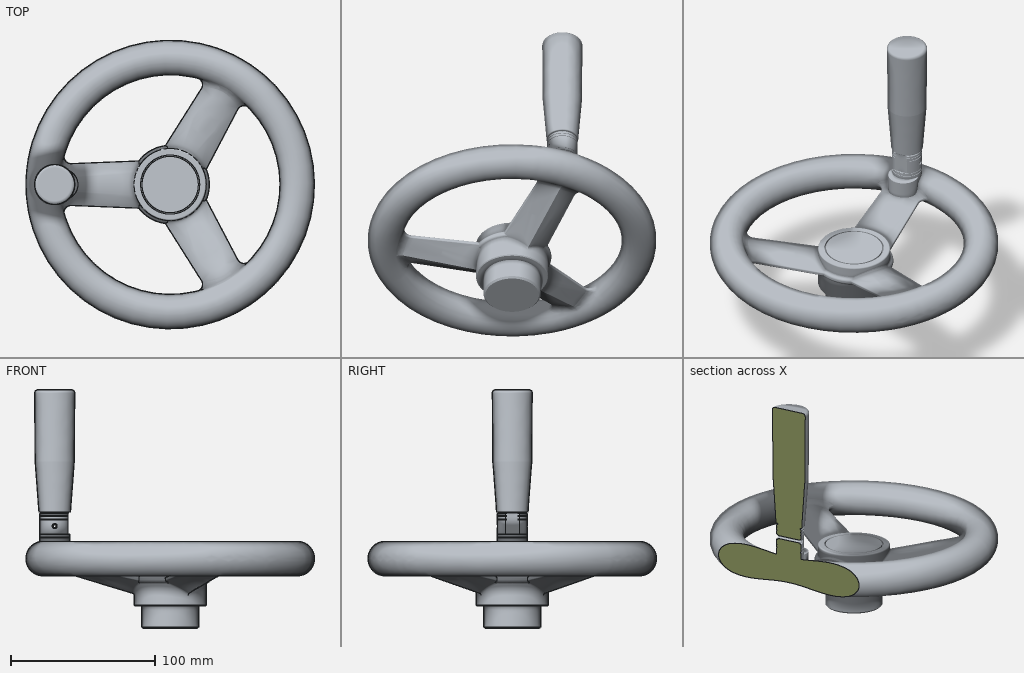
import cadquery as cq
import math

RIM_DIAMETER = 200.0
TUBE_RADIUS = 12.0
RIM_Z = 48.4
RIM_PATH_RADIUS = RIM_DIAMETER / 2 - TUBE_RADIUS
RIM_SEAM_ANGLE = 177.0
RIM_TOP_Z = RIM_Z + TUBE_RADIUS

SPIGOT_RADIUS = 19.8
SPIGOT_CHAMFER = 1.2
HUB_RADIUS = 25.0
HUB_BOTTOM_Z = 15.6
HUB_TOP_Z = 44.8
HUB_EDGE = 0.6
HUB_TOP_ROUND = 1.0
COLLAR_RADIUS = 27.2
COLLAR_BOTTOM_Z = 31.6
COLLAR_TOP_Z = 36.2
COLLAR_ROUND = 2.0
CAP_GROOVE_OUTER_RADIUS = 20.5
CAP_GROOVE_INNER_RADIUS = 19.5
CAP_GROOVE_DEPTH = 1.5

SPOKE_COUNT = 3
FIRST_SPOKE_ANGLE = 180.0
SPOKE_START = 15.0
SPOKE_END = RIM_PATH_RADIUS - 6.0
SPOKE_HUB_HALF_WIDTH = 16.3
SPOKE_TAPER = 0.04
SPOKE_CROWN = 4.3
SPOKE_EDGE_THICKNESS = 2.0
SPOKE_EDGE_HUB_Z = 35.8
SPOKE_EDGE_SLOPE = 0.22
SPOKE_RIDGE_HUB_Z = 24.0
SPOKE_RIDGE_SLOPE = 0.304
SPOKE_EDGE_ROUND = 0.7
SPOKE_RIM_FILLET = 5.0
SPOKE_HUB_FILLET = 1.2
ON_WALL_TOLERANCE = 0.05

SEAT_RADIUS = 10.5
SEAT_X = -74.4
SEAT_BOTTOM_Z = RIM_Z - 4.0

HANDLE_X = -80.0
STEM_RADIUS = 10.5
STEM_TOP_Z = 80.0
STEM_CHAMFER = 0.6
STEM_GROOVE_WIDTH = 0.5
STEM_GROOVE_DEPTH = 0.4
STEM_GROOVE_HEIGHTS = (62.8, 75.3, 77.6)
FLAT_BOTTOM_Z = 65.3
BASE_SEAM_WIDTH = 0.2
BASE_SEAM_DEPTH = 0.3
FLAT_OFFSET = 9.3
PIN_BORE_DIAMETER = 2.0
PIN_RECESS_DIAMETER = 3.5
PIN_RECESS_DEPTH = 1.0
PIN_HOLE_Z = 70.9
NECK_RADIUS = 9.5
GRIP_BOTTOM_Z = 80.6
GRIP_BOTTOM_RADIUS = 11.0
GRIP_BOTTOM_ROUND = 0.6
GRIP_SHOULDER_Z = 115.4
GRIP_SHOULDER_RADIUS = 13.6
GRIP_TOP_Z = 165.4
GRIP_TOP_RADIUS = 14.0
GRIP_TOP_ROUND = 2.4


def cylinder(radius, bottom_z, top_z, x=0.0):
    return cq.Workplane("XY", origin=(x, 0, bottom_z)).circle(radius).extrude(top_z - bottom_z)


def ring(outer_radius, inner_radius, bottom_z, top_z, x=0.0):
    return cylinder(outer_radius, bottom_z, top_z, x).cut(cylinder(inner_radius, bottom_z, top_z, x))


def make_rim():
    ring_solid = cq.Solid.makeTorus(RIM_PATH_RADIUS, TUBE_RADIUS, cq.Vector(0, 0, RIM_Z))
    return cq.Workplane(ring_solid).rotate((0, 0, 0), (0, 0, 1), RIM_SEAM_ANGLE)


def make_hub():
    spigot = cylinder(SPIGOT_RADIUS, 0, HUB_BOTTOM_Z).faces("<Z").chamfer(SPIGOT_CHAMFER)
    barrel = cylinder(HUB_RADIUS, HUB_BOTTOM_Z, HUB_TOP_Z).faces("<Z").chamfer(HUB_EDGE)
    barrel = barrel.faces(">Z").edges().fillet(HUB_TOP_ROUND)
    collar = cylinder(COLLAR_RADIUS, COLLAR_BOTTOM_Z, COLLAR_TOP_Z).edges("%CIRCLE").fillet(COLLAR_ROUND)
    return spigot.union(barrel).union(collar)


def spoke_section(distance):
    """Closed spoke outline at a distance from the hub axis, in the local YZ plane."""
    beyond_hub = distance - HUB_RADIUS
    half_width = SPOKE_HUB_HALF_WIDTH - SPOKE_TAPER * beyond_hub
    edge_top = SPOKE_EDGE_HUB_Z + SPOKE_EDGE_SLOPE * beyond_hub
    edge_bottom = edge_top - SPOKE_EDGE_THICKNESS
    ridge = SPOKE_RIDGE_HUB_Z + SPOKE_RIDGE_SLOPE * beyond_hub
    return (
        cq.Workplane("YZ", origin=(distance, 0, 0))
        .moveTo(-half_width, edge_top)
        .threePointArc((0, edge_top + SPOKE_CROWN), (half_width, edge_top))
        .lineTo(half_width, edge_bottom)
        .lineTo(0, ridge)
        .lineTo(-half_width, edge_bottom)
        .close()
        .val()
    )


def distance_from_axis(point):
    return math.hypot(point.x, point.y)


def make_spoke(angle):
    sections = [spoke_section(SPOKE_START), spoke_section(SPOKE_END)]
    spoke = cq.Workplane(cq.Solid.makeLoft(sections, True))
    side_edges = [
        edge
        for edge in spoke.edges().vals()
        if edge.Length() > (SPOKE_END - SPOKE_START) / 2 and abs(edge.Center().y) > SPOKE_HUB_HALF_WIDTH / 2
    ]
    rounded = spoke.newObject(side_edges).fillet(SPOKE_EDGE_ROUND)
    return rounded.rotate((0, 0, 0), (0, 0, 1), angle)


def make_wheel():
    """Rim with the spokes blended into its inner side."""
    wheel = make_rim()
    for index in range(SPOKE_COUNT):
        wheel = wheel.union(make_spoke(FIRST_SPOKE_ANGLE + index * 360 / SPOKE_COUNT))
    joint_edges = [
        edge
        for edge in wheel.edges().vals()
        if edge.geomType() == "BSPLINE" and distance_from_axis(edge.Center()) > RIM_PATH_RADIUS - 1.5 * TUBE_RADIUS
    ]
    return wheel.newObject(joint_edges).fillet(SPOKE_RIM_FILLET)


def stem_groove(bottom_z, width, depth):
    return ring(STEM_RADIUS + 1, STEM_RADIUS - depth, bottom_z, bottom_z + width, HANDLE_X)


def pin_cylinder(diameter, length):
    """Cross pin shape along Y, centred on the handle axis."""
    pin = cq.Workplane("XZ", origin=(HANDLE_X, 0, PIN_HOLE_Z)).circle(diameter / 2)
    return pin.extrude(length / 2, both=True)


def make_handle():
    stem = cylinder(STEM_RADIUS, RIM_Z, STEM_TOP_Z, HANDLE_X).faces(">Z").chamfer(STEM_CHAMFER)
    for height in STEM_GROOVE_HEIGHTS:
        stem = stem.cut(stem_groove(height, STEM_GROOVE_WIDTH, STEM_GROOVE_DEPTH))
    stem = stem.cut(stem_groove(FLAT_BOTTOM_Z - BASE_SEAM_WIDTH, BASE_SEAM_WIDTH, BASE_SEAM_DEPTH))
    flat_cut = cq.Workplane("XY").box(
        STEM_RADIUS, 2 * STEM_RADIUS, STEM_TOP_Z - FLAT_BOTTOM_Z, centered=(False, True, False)
    )
    stem = stem.cut(flat_cut.translate((HANDLE_X + FLAT_OFFSET, 0, FLAT_BOTTOM_Z)))
    stem = stem.cut(pin_cylinder(PIN_BORE_DIAMETER, 2 * STEM_RADIUS))
    pin_recess_core = pin_cylinder(PIN_RECESS_DIAMETER, 2 * (STEM_RADIUS - PIN_RECESS_DEPTH))
    stem = stem.cut(pin_cylinder(PIN_RECESS_DIAMETER, 2 * STEM_RADIUS).cut(pin_recess_core))
    neck = cylinder(NECK_RADIUS, STEM_TOP_Z, GRIP_BOTTOM_Z, HANDLE_X)
    grip = (
        cq.Workplane("XZ", origin=(HANDLE_X, 0, 0))
        .moveTo(0, GRIP_BOTTOM_Z)
        .lineTo(GRIP_BOTTOM_RADIUS, GRIP_BOTTOM_Z)
        .lineTo(GRIP_SHOULDER_RADIUS, GRIP_SHOULDER_Z)
        .lineTo(GRIP_TOP_RADIUS, GRIP_TOP_Z)
        .lineTo(0, GRIP_TOP_Z)
        .close()
        .revolve(360, (0, 0, 0), (0, 1, 0))
    )
    grip = grip.faces(">Z").edges().fillet(GRIP_TOP_ROUND)
    grip = grip.faces("<Z").edges().fillet(GRIP_BOTTOM_ROUND)
    return stem.union(neck).union(grip)


def make_seat():
    return cylinder(SEAT_RADIUS, SEAT_BOTTOM_Z, RIM_TOP_Z, SEAT_X)


def lies_on_barrel(edge):
    """True for edges along the barrel wall between its two rounded ends."""
    points = [edge.positionAt(fraction) for fraction in (0, 0.25, 0.5, 0.75, 1)]
    on_wall = all(abs(distance_from_axis(point) - HUB_RADIUS) < ON_WALL_TOLERANCE for point in points)
    between_ends = all(
        HUB_BOTTOM_Z + HUB_EDGE < point.z - ON_WALL_TOLERANCE
        and point.z + ON_WALL_TOLERANCE < HUB_TOP_Z - HUB_TOP_ROUND
        for point in points
    )
    return on_wall and between_ends and edge.geomType() != "LINE"


def blend_hub(wheel):
    """Join the hub to the wheel and blend the spokes and collar into the barrel."""
    joined = wheel.union(make_hub())
    root_edges = [edge for edge in joined.edges().vals() if lies_on_barrel(edge)]
    return joined.newObject(root_edges).fillet(SPOKE_HUB_FILLET)


cap_groove = ring(
    CAP_GROOVE_OUTER_RADIUS, CAP_GROOVE_INNER_RADIUS, HUB_TOP_Z - CAP_GROOVE_DEPTH, HUB_TOP_Z
)
result = blend_hub(make_wheel()).cut(cap_groove).union(make_seat()).union(make_handle())